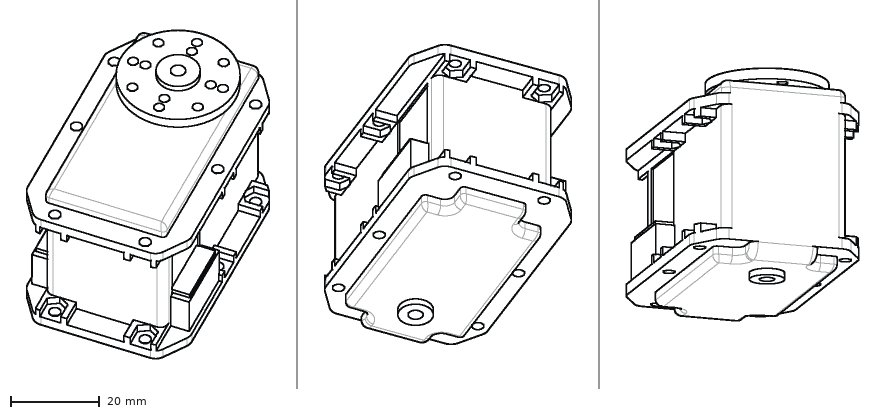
import cadquery as cq
import math


lower_shaft_height = 1.5
bottom_cover_height = 3.4
flange_thickness = 2.6
pad_height = 2.0
gap_between_flanges = 29.0
top_cover_height = 3.4
collar_height = 0.6
disc_thickness = 2.5
hub_height = 1.4

bottom_cover_z = lower_shaft_height
lower_flange_z = bottom_cover_z + bottom_cover_height
body_z = lower_flange_z + flange_thickness
upper_flange_z = body_z + gap_between_flanges
top_cover_z = upper_flange_z + flange_thickness
collar_z = top_cover_z + top_cover_height
disc_z = collar_z + collar_height
hub_z = disc_z + disc_thickness
total_height = hub_z + hub_height

body_width = 29.5
body_half = body_width / 2
back_y = 13.1
body_front_y = -42.6
body_corner_radius = 2.0
cover_corner_radius = 1.0
cover_edge_radius = 1.6
top_back_edge_radius = 2.0
bottom_back_edge_radius = 3.35

notch_half_gap = 8.1
front_notch_y = -36.2
back_notch_y = 6.55
notch_inner_radius = 2.4

flange_width = 40.2
flange_half = flange_width / 2
flange_front_y = -48.1
flange_cut_x = 5.05
flange_cut_y = 7.4
flange_corner_radius = 3.1
mount_hole_diameter = 2.7
side_hole_x = 17.3
side_hole_ys = (4.0, -18.0)
front_hole_x = 11.05
front_hole_y = -45.4

pad_width = 8.1
nut_across_flats = 5.1

recess_depth = 0.5
recess_back_y = -22.35
recess_front_y = -38.45
connector_outer_x = 19.25
connector_back_y = -21.75
connector_front_y = -39.3
connector_top_z = 17.0
lip_outer_x = 18.85
lip_inset_y = 1.3
lip_height = 1.0

lower_shaft_diameter = 8.0
collar_base_diameter = 11.4
collar_top_diameter = 10.8
disc_diameter = 28.0
hub_diameter = 10.0
bore_diameter = 3.4
disc_hole_diameter = 2.4
outer_hole_radius = 11.0
inner_hole_radius = 8.0


def block(x_min, x_max, y_min, y_max, z_min, z_max):
    """Box between two opposite corners."""
    size = (x_max - x_min, y_max - y_min, z_max - z_min)
    return cq.Workplane("XY").box(*size, centered=False).translate((x_min, y_min, z_min))


def cylinder(diameter, z_min, height):
    return cq.Workplane("XY").workplane(offset=z_min).circle(diameter / 2).extrude(height)


def body_block(z_min, z_max):
    return block(-body_half, body_half, body_front_y, back_y, z_min, z_max)


def flange_outline(z_min, height):
    """Rectangle with four slanted, rounded corners."""
    x_end = flange_half - flange_cut_x
    y_front = flange_front_y + flange_cut_y
    y_back = back_y - flange_cut_y
    points = [
        (x_end, flange_front_y),
        (flange_half, y_front),
        (flange_half, y_back),
        (x_end, back_y),
        (-x_end, back_y),
        (-flange_half, y_back),
        (-flange_half, y_front),
        (-x_end, flange_front_y),
    ]
    outline = cq.Workplane("XY").workplane(offset=z_min).polyline(points).close().extrude(height)
    return outline.edges("|Z").fillet(flange_corner_radius)


def nut_pocket(center, outward_angle, z_min):
    """Hexagonal nut pocket that opens toward the flange edge."""
    across_corners = nut_across_flats / math.cos(math.radians(30))
    hexagon = cq.Workplane("XY").polygon(6, across_corners).extrude(pad_height)
    opening = block(0, pad_width, -nut_across_flats / 2, nut_across_flats / 2, 0, pad_height)
    pocket = hexagon.union(opening).rotate((0, 0, 0), (0, 0, 1), outward_angle)
    return pocket.translate((*center, z_min))


def pads(z_min):
    """Pads around all mounting holes, trimmed to the flange outline."""
    z_max = z_min + pad_height
    blocks = cq.Workplane("XY")
    for side in (1, -1):
        x_min, x_max = sorted((0, side * flange_half))
        for y in side_hole_ys:
            blocks = blocks.add(block(x_min, x_max, y - pad_width / 2, y + pad_width / 2, z_min, z_max))
        x_min, x_max = sorted((side * (front_hole_x - pad_width / 2), side * body_half))
        pad_back_y = body_front_y + body_corner_radius
        blocks = blocks.add(block(x_min, x_max, flange_front_y, pad_back_y, z_min, z_max))
    return flange_outline(z_min, pad_height).intersect(blocks.combine())


def nut_pockets(z_min):
    """Pockets at all mounting holes; their inner corners reach into the body."""
    pockets = cq.Workplane("XY")
    for side, outward_angle in ((1, 0), (-1, 180)):
        for y in side_hole_ys:
            pockets = pockets.add(nut_pocket((side * side_hole_x, y), outward_angle, z_min))
        pockets = pockets.add(nut_pocket((side * front_hole_x, front_hole_y), -90, z_min))
    return pockets.combine()


def flange(z_min, pad_z):
    """Flange plate with its pads and mounting holes."""
    hole_centers = [(side * side_hole_x, y) for side in (1, -1) for y in side_hole_ys]
    hole_centers += [(side * front_hole_x, front_hole_y) for side in (1, -1)]
    holes = (
        cq.Workplane("XY")
        .pushPoints(hole_centers)
        .circle(mount_hole_diameter / 2)
        .extrude(total_height)
    )
    return flange_outline(z_min, flange_thickness).union(pads(pad_z)).cut(holes)


def body():
    """Middle body with a shallow recess in each side."""
    shape = body_block(body_z, upper_flange_z).edges("|Z").fillet(body_corner_radius)
    recess_x = body_half - recess_depth
    recess_top_z = upper_flange_z - pad_height
    for side in (1, -1):
        x_min, x_max = sorted((side * recess_x, side * body_half))
        shape = shape.cut(block(x_min, x_max, recess_front_y, recess_back_y, body_z, recess_top_z))
    return shape


def connector(side):
    """Connector housing with a slightly smaller lip on top."""
    inner_x = side * (body_half - recess_depth)
    x_min, x_max = sorted((inner_x, side * connector_outer_x))
    housing = block(x_min, x_max, connector_front_y, connector_back_y, body_z, connector_top_z)
    x_min, x_max = sorted((inner_x, side * lip_outer_x))
    lip_front_y = connector_front_y + lip_inset_y
    lip_back_y = connector_back_y - lip_inset_y
    lip = block(x_min, x_max, lip_front_y, lip_back_y, connector_top_z, connector_top_z + lip_height)
    return housing.union(lip)


def top_cover():
    """Cover whose side edge rounds run on down its back corners."""
    shape = body_block(top_cover_z, collar_z)
    shape = shape.faces(">Y").edges(">Z").fillet(top_back_edge_radius)
    shape = shape.faces("<Y").edges("|Z").fillet(cover_corner_radius)
    return shape.faces(">Z").edges("not >Y").fillet(cover_edge_radius)


def upright_edges_at(shape, corners):
    """Vertical edges of the shape that stand on the given (x, y) corners, on both sides."""
    half_reach = 0.05
    selector = None
    for x, y in corners:
        for side in (1, -1):
            low = (side * x - half_reach, y - half_reach, 0)
            high = (side * x + half_reach, y + half_reach, total_height)
            near = cq.selectors.BoxSelector(low, high)
            selector = near if selector is None else selector + near
    return shape.edges("|Z").edges(selector)


def bottom_cover():
    """Cover with a notch in each corner and a large round on the lower back edge."""
    shape = body_block(bottom_cover_z, lower_flange_z)
    for side in (1, -1):
        x_min, x_max = sorted((side * notch_half_gap, side * body_half))
        for y_min, y_max in ((body_front_y, front_notch_y), (back_notch_y, back_y)):
            shape = shape.cut(block(x_min, x_max, y_min, y_max, bottom_cover_z, lower_flange_z))
    inner_corners = [(notch_half_gap, front_notch_y), (notch_half_gap, back_notch_y)]
    outer_corners = [
        (notch_half_gap, body_front_y),
        (body_half, front_notch_y),
        (body_half, back_notch_y),
    ]
    shape = upright_edges_at(shape, inner_corners).fillet(notch_inner_radius)
    shape = shape.faces(">Y").edges("<Z").fillet(bottom_back_edge_radius)
    shape = upright_edges_at(shape, outer_corners).fillet(cover_corner_radius)
    return shape.faces("<Z").edges("not >Y").fillet(cover_edge_radius)


def output():
    """Lower shaft, collar, disc and hub; the diagonal disc holes lie on the outer hole circle."""
    shaft = cylinder(lower_shaft_diameter, 0, lower_shaft_height)
    collar = cq.Workplane(
        cq.Solid.makeCone(
            collar_base_diameter / 2,
            collar_top_diameter / 2,
            collar_height,
            pnt=(0, 0, collar_z),
        )
    )
    disc = cylinder(disc_diameter, disc_z, disc_thickness)
    hub = cylinder(hub_diameter, hub_z, hub_height)
    diagonal_x = inner_hole_radius
    diagonal_y = math.sqrt(outer_hole_radius**2 - diagonal_x**2)
    hole_centers = [(sx * diagonal_x, sy * diagonal_y) for sx in (1, -1) for sy in (1, -1)]
    for radius in (inner_hole_radius, outer_hole_radius):
        hole_centers += [(radius, 0), (-radius, 0), (0, radius), (0, -radius)]
    holes = (
        cq.Workplane("XY")
        .workplane(offset=disc_z)
        .pushPoints(hole_centers)
        .circle(disc_hole_diameter / 2)
        .extrude(disc_thickness)
    )
    disc = disc.cut(holes)
    return shaft.union(collar).union(disc).union(hub)


result = (
    body()
    .union(bottom_cover())
    .union(flange(lower_flange_z, body_z))
    .union(flange(upper_flange_z, upper_flange_z - pad_height))
    .union(top_cover())
    .union(connector(1))
    .union(connector(-1))
    .union(output())
    .cut(nut_pockets(body_z))
    .cut(nut_pockets(upper_flange_z - pad_height))
    .cut(cylinder(bore_diameter, 0, total_height))
)